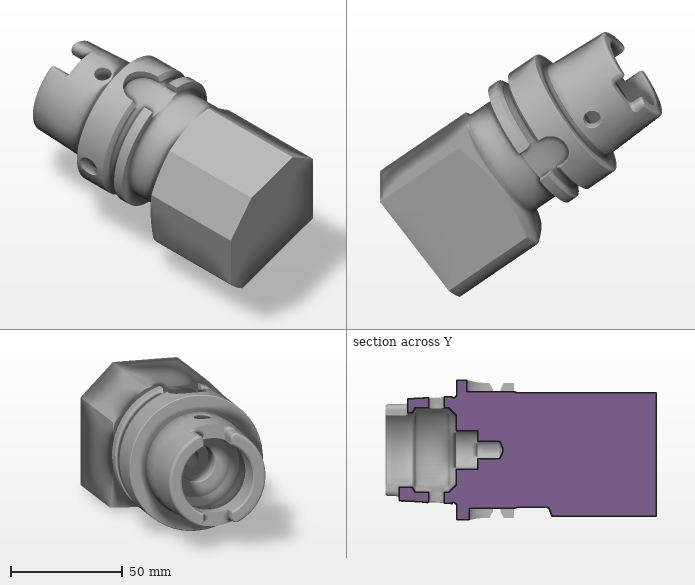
import cadquery as cq
import math


quarter_inset = 1 - math.sqrt(0.5)

length = 121.9
width = 66.5
flange_radius = 63.0 / 2

mouth_round = 1.3
taper_front_radius = 22.8
taper_back_radius = 24.3
taper_end = 30.0
relief_start = 30.2
relief_radius = 23.8
flange_face = 31.9
relief_fillet = 1.3

flange_chamfer = 0.4
flange_back = 57.8
groove_center = 50.0
groove_width = 6.5
groove_floor_width = 3.4
groove_floor_radius = 27.4
groove_fillet = 0.7
groove_wall_angle = 30

neck_radius = 26.0
neck_fillet = 1.2
head_radius = 40.0
head_cone_start = 73.4
head_cone_angle = 19
head_fillet = 1.0
head_rim_chamfer = 0.6
head_bottom = 29.9
head_side = width - flange_radius
head_side_chamfer = 15.4
head_flat_angle = 45

bore_radius = 16.8
bore_mouth_chamfer = 0.7
bore_lip_depth = 12.2
clamp_radius = 19.0
clamp_angle = 60
bore_bottom_radius = 15.7
bore_depth = 31.7
recess_radius = 8.7
recess_chamfer = 0.4
recess_depth = 41.5
drill_radius = 4.3
drill_depth = 51.2
drill_point_angle = 118

drive_slot_half_width = 6.3
drive_slot_height = 20.7
drive_slot_flare = 2.5
drive_slot_fillet = 1.5
drive_slot_mouth_length = 1.3
drive_slot_mouth_growth = 0.43
drive_slot_depth_top = 10.0
drive_slot_depth_bottom = 6.2

cross_hole_x = 22.9
cross_hole_radius = 3.8
cross_hole_chamfer = 0.4

keyway_floor = 26.2
keyway_top_width = 18.0
keyway_top_start = 36.6
keyway_bottom_width = 16.0
keyway_bottom_start = 37.7

side_hole_x = 38.9
side_hole_radius = 5.0
side_hole_depth = 4.6


def turned(profile):
    """Revolve a closed profile drawn as (x, radius) about the X axis."""
    return profile.close().revolve(360, (0, 0, 0), (1, 0, 0))


def shank_flange_and_neck():
    round_middle = mouth_round * quarter_inset
    relief_middle = relief_fillet * quarter_inset
    fillet_middle = neck_fillet * quarter_inset
    profile = (
        cq.Workplane("XY")
        .lineTo(0, taper_front_radius - mouth_round)
        .threePointArc(
            (round_middle, taper_front_radius - round_middle),
            (mouth_round, taper_front_radius),
        )
        .lineTo(taper_end, taper_back_radius)
        .lineTo(relief_start, relief_radius)
        .lineTo(flange_face - relief_fillet, relief_radius)
        .threePointArc(
            (flange_face - relief_middle, relief_radius + relief_middle),
            (flange_face, relief_radius + relief_fillet),
        )
        .lineTo(flange_face, flange_radius - flange_chamfer)
        .lineTo(flange_face + flange_chamfer, flange_radius)
        .lineTo(flange_back, flange_radius)
        .lineTo(flange_back, neck_radius + neck_fillet)
        .threePointArc(
            (flange_back + fillet_middle, neck_radius + fillet_middle),
            (flange_back + neck_fillet, neck_radius),
        )
        .lineTo(length, neck_radius)
        .lineTo(length, 0)
    )
    return turned(profile)


def gripper_groove():
    wall_run = (groove_width - groove_floor_width) / 2
    shoulder_radius = flange_radius - wall_run / math.tan(math.radians(groove_wall_angle))
    half_top = groove_width / 2
    half_floor = groove_floor_width / 2
    half_flat = half_floor - groove_fillet
    fillet_top = groove_floor_radius + groove_fillet
    fillet_middle = groove_fillet * quarter_inset
    profile = (
        cq.Workplane("XY", origin=(groove_center, 0, 0))
        .moveTo(-half_top, flange_radius)
        .lineTo(-half_floor, shoulder_radius)
        .lineTo(-half_floor, fillet_top)
        .threePointArc(
            (-half_floor + fillet_middle, groove_floor_radius + fillet_middle),
            (-half_flat, groove_floor_radius),
        )
        .lineTo(half_flat, groove_floor_radius)
        .threePointArc(
            (half_floor - fillet_middle, groove_floor_radius + fillet_middle),
            (half_floor, fillet_top),
        )
        .lineTo(half_floor, shoulder_radius)
        .lineTo(half_top, flange_radius)
    )
    return turned(profile)


def head():
    slope = math.radians(head_cone_angle)
    turn = math.radians(90 - head_cone_angle)
    tangent = head_fillet * math.tan(turn / 2)
    fillet_start = head_cone_start - tangent
    cone_end_radius = head_radius - head_rim_chamfer
    cone_end = head_cone_start + (cone_end_radius - neck_radius) * math.tan(slope)
    blank = turned(
        cq.Workplane("XY")
        .moveTo(fillet_start, 0)
        .lineTo(fillet_start, neck_radius)
        .threePointArc(
            (
                fillet_start + head_fillet * math.sin(turn / 2),
                neck_radius + head_fillet * (1 - math.cos(turn / 2)),
            ),
            (
                head_cone_start + tangent * math.sin(slope),
                neck_radius + tangent * math.cos(slope),
            ),
        )
        .lineTo(cone_end, cone_end_radius)
        .lineTo(cone_end + head_rim_chamfer, head_radius)
        .lineTo(length, head_radius)
        .lineTo(length, 0)
    )
    flat_end = neck_radius * math.tan(math.radians(head_flat_angle / 2))
    section = (
        cq.Workplane("YZ")
        .polyline(
            [
                (neck_radius, -head_bottom),
                (neck_radius, flat_end),
                (flat_end, neck_radius),
                (-head_side + head_side_chamfer, neck_radius),
                (-head_side, neck_radius - head_side_chamfer),
                (-head_side, -head_bottom),
            ]
        )
        .close()
        .extrude(length)
    )
    return blank.intersect(section)


def bore():
    clamp_run = (clamp_radius - bore_radius) / math.tan(math.radians(clamp_angle))
    bottom_chamfer = clamp_radius - bore_bottom_radius
    point_length = drill_radius / math.tan(math.radians(drill_point_angle / 2))
    profile = (
        cq.Workplane("XY")
        .lineTo(0, bore_radius + bore_mouth_chamfer)
        .lineTo(bore_mouth_chamfer, bore_radius)
        .lineTo(bore_lip_depth, bore_radius)
        .lineTo(bore_lip_depth + clamp_run, clamp_radius)
        .lineTo(bore_depth - bottom_chamfer, clamp_radius)
        .lineTo(bore_depth, bore_bottom_radius)
        .lineTo(bore_depth, recess_radius + recess_chamfer)
        .lineTo(bore_depth + recess_chamfer, recess_radius)
        .lineTo(recess_depth, recess_radius)
        .lineTo(recess_depth, drill_radius)
        .lineTo(drill_depth, drill_radius)
        .lineTo(drill_depth + point_length, 0)
    )
    return turned(profile)


def drive_slot_outline(x, growth):
    """Section of a drive slot at x, grown outward; its walls flare out towards the shank surface."""
    half_width = drive_slot_half_width + growth
    height = drive_slot_height - growth
    flare = drive_slot_flare
    flare_middle = flare * quarter_inset
    outer = flange_radius
    return (
        cq.Workplane("YZ", origin=(x, 0, 0))
        .moveTo(-half_width, 0)
        .lineTo(half_width, 0)
        .lineTo(half_width, height - flare)
        .threePointArc(
            (half_width + flare_middle, height - flare_middle),
            (half_width + flare, height),
        )
        .lineTo(outer, height)
        .lineTo(outer, outer)
        .lineTo(-outer, outer)
        .lineTo(-outer, height)
        .lineTo(-half_width - flare, height)
        .threePointArc(
            (-half_width - flare_middle, height - flare_middle),
            (-half_width, height - flare),
        )
        .lineTo(-half_width, 0)
        .close()
    )


def drive_slot(depth):
    slot = drive_slot_outline(0, 0).extrude(depth).faces(">X").edges().fillet(drive_slot_fillet)
    mouth = cq.Solid.makeLoft(
        [
            drive_slot_outline(0, drive_slot_mouth_growth).val(),
            drive_slot_outline(drive_slot_mouth_length, 0).val(),
        ],
        True,
    )
    return slot.union(cq.Workplane(mouth))


def keyway(slot_width, start):
    radius = slot_width / 2
    run = flange_back + neck_fillet - start
    return (
        cq.Workplane("XY", origin=(start, 0, keyway_floor))
        .moveTo(run, -radius)
        .lineTo(radius, -radius)
        .threePointArc((0, 0), (radius, radius))
        .lineTo(run, radius)
        .close()
        .extrude(flange_radius)
    )


def upside_down(tool):
    return tool.rotate((0, 0, 0), (1, 0, 0), 180)


def cross_hole():
    axis = cq.Workplane("XY", origin=(cross_hole_x, 0, 0))
    return axis.circle(cross_hole_radius).extrude(flange_radius, both=True)


def chamfer_cross_hole(shank):
    reach = 2 * cross_hole_radius
    for side in (1, -1):
        rim = cq.selectors.BoxSelector(
            (cross_hole_x - reach, -reach, side * bore_radius),
            (cross_hole_x + reach, reach, side * flange_radius),
            boundingbox=True,
        )
        shank = shank.edges(rim).chamfer(cross_hole_chamfer)
    return shank


def side_hole():
    floor = cq.Workplane("XZ", origin=(side_hole_x, side_hole_depth - flange_radius, 0))
    return floor.circle(side_hole_radius).extrude(side_hole_depth)


body = shank_flange_and_neck().cut(gripper_groove())
body = body.cut(keyway(keyway_top_width, keyway_top_start))
body = body.cut(upside_down(keyway(keyway_bottom_width, keyway_bottom_start)))
body = body.cut(side_hole())
body = body.cut(cross_hole())
body = chamfer_cross_hole(body)
body = body.cut(bore())
body = body.cut(drive_slot(drive_slot_depth_top))
body = body.cut(upside_down(drive_slot(drive_slot_depth_bottom)))
result = body.union(head())